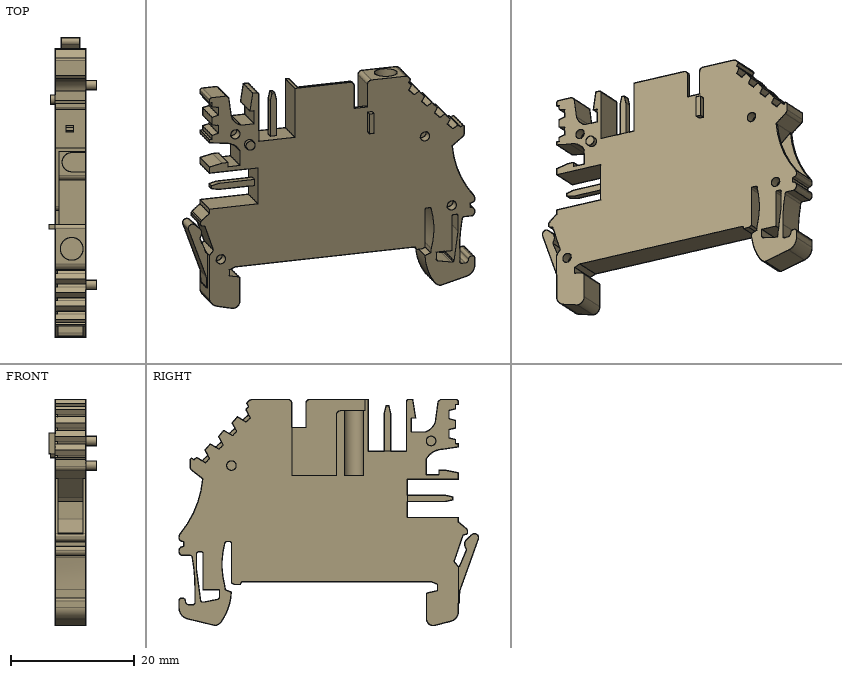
import cadquery as cq
import math


WIDTH = 4.95
HEIGHT = 36.7
BACK = 45.3
UNDERSIDE = 7.1

RECESS_SPAN = 6.2
RECESS_RIM = 0.35
TOP_RECESS_FRONT = 30.75
TOP_RECESS_FLOOR = 28.3
TOP_RECESS_BACK = TOP_RECESS_FRONT + RECESS_SPAN
REAR_RECESS_BOTTOM = 17.55
REAR_RECESS_TOP = REAR_RECESS_BOTTOM + RECESS_SPAN
REAR_RECESS_FLOOR = 37.05
PIN_LENGTH = 7.4
PIN_THICKNESS = 1.05
PIN_WIDTH = 1.2
PIN_TIP = 0.5
PIN_TAPER = 1.25
PIN_X = 2.35

SLOT_BACK = 20.55
SLOT_FRONT = 18.35
SLOT_FLOOR = 32.15
SLOT_ROUND = 0.7
SCREW_X = 2.67
SCREW_Y = 14.35
SCREW_RADIUS = 1.85

CHAMBER_FLOOR = 24.3
SIDE_WALL = 0.6
SEAT_FRONT = 25.55
SEAT_TOP = 34.85
SEAT_ROUND = 0.75
SEAT_NOTCH_Y = 28.4
SEAT_NOTCH_RADIUS = 1.55

TOOTH_COUNT = 4
TOOTH_PITCH = 3.1
TOOTH_STEP = TOOTH_PITCH * math.sqrt(0.5)
TEETH_START_Y = 11.3
TEETH_START_Z = 34.25
VALLEY_SKIN = 0.4

SERRATION_COUNT = 2
SERRATION_REBATE = 0.45
SERRATION_BOTTOM = 29.5
SERRATION_TOP = 35.85
SERRATION_FIRST_Z = 31.1
SERRATION_PITCH = 3.1
SERRATION_DEPTH = 1.05
SERRATION_MOUTH = 1.85
SERRATION_ROOT = 1.3

POCKET_WALL = 0.45
POCKET_FLOOR = 15.05
POCKET_REAR = 7.8

PEG_RADIUS = 0.8
PEG_LENGTH = 1.75
PEG_PLACES = [(40.9, 29.95), (8.5, 25.95)]
PEG_HOLE_PLACES = [*PEG_PLACES, (3.95, 13.55), (43.4, 8.7)]
STUD_PLACE = (38.55, 28.0)
STUD_LENGTH = 0.8
TAB_LENGTH = 1.0
TAB_THICKNESS = 0.8
TAB_BOTTOM = 27.85
TAB_TOP = 31.25

LEVER_WIDTH = 3.0
OVERCUT = 0.5


def yz_sketch(x=0):
    """Workplane in YZ whose extrusions start at the given X."""
    return cq.Workplane("YZ", origin=(x, 0, 0))


def prism(points, x=0, width=WIDTH):
    """Extrudes a straight-sided YZ outline along X."""
    return yz_sketch(x).polyline(points).close().extrude(width)


def block(y_range, z_range, x=0, width=WIDTH):
    """Box given by its Y and Z limits."""
    (y0, y1), (z0, z1) = y_range, z_range
    return prism([(y0, z0), (y1, z0), (y1, z1), (y0, z1)], x, width)


def cylinders(places, x, length):
    """Round pegs along +X at the given YZ places."""
    return yz_sketch(x).pushPoints(places).circle(PEG_RADIUS).extrude(length)


def tooth_ramp():
    """Points of the ramp from the top of the first valley to the tip of the last tooth."""
    points = []
    for i in range(TOOTH_COUNT):
        y = TEETH_START_Y - i * TOOTH_STEP
        z = TEETH_START_Z - i * TOOTH_STEP
        points += [(y, z), (y - 0.9, z - 0.88), (y - 1.8, z - 0.35)]
        if i < TOOTH_COUNT - 1:
            points.append((y - 2.67, z - 1.35))
    return points


def deep_valleys(body):
    """Deepens the valleys between the teeth everywhere but in a thin skin on the -X side."""
    for i in range(TOOTH_COUNT):
        y = TEETH_START_Y - i * TOOTH_STEP
        z = TEETH_START_Z - i * TOOTH_STEP
        valley = [(y, z), (y + 0.3, z - 0.55), (y - 0.4, z - 1.2), (y - 0.9, z - 0.88)]
        body = body.cut(prism(valley, VALLEY_SKIN))
    return body


def plate():
    """Solid plate with the toothed ramp, curved front, front clip foot and rear foot."""
    outline = (
        yz_sketch()
        .moveTo(BACK - 0.4, HEIGHT)
        .lineTo(11.85, HEIGHT)
        .threePointArc((11.35, 36.45), (11.0, 36.05))
        .lineTo(11.3, 35.55)
        .lineTo(10.85, 35.05)
    )
    for point in tooth_ramp():
        outline = outline.lineTo(*point)
    return (
        outline
        .lineTo(2.45, 26.95)
        .lineTo(2.05, 27.2)
        .lineTo(1.8, 27.0)
        .lineTo(1.8, 25.8)
        .threePointArc((1.85, 25.5), (2.1, 25.2))
        .lineTo(3.85, 23.85)
        .threePointArc((2.7, 19.15), (0.2, 14.95))
        .threePointArc((0.05, 14.65), (0, 14.35))
        .threePointArc((0.1, 13.9), (0.4, 13.7))
        .lineTo(0.8, 13.55)
        .lineTo(0.8, 13.05)
        .threePointArc((0.75, 12.9), (0.6, 12.85))
        .threePointArc((0.2, 12.65), (0, 12.15))
        .threePointArc((0.15, 11.6), (0.5, 11.4))
        .lineTo(1.85, 11.4)
        .threePointArc((2.05, 11.3), (2.15, 11.05))
        .threePointArc((2.5, 8.45), (2.6, 5.85))
        .lineTo(2.6, 3.8)
        .threePointArc((2.5, 3.5), (2.2, 3.4))
        .lineTo(1.65, 3.4)
        .threePointArc((1.25, 3.55), (1.05, 4.0))
        .threePointArc((0.9, 4.35), (0.6, 4.45))
        .lineTo(0.3, 4.45)
        .threePointArc((0.1, 4.35), (0, 4.0))
        .lineTo(0, 2.95)
        .threePointArc((0.4, 1.75), (1.45, 1.05))
        .lineTo(5.9, 0)
        .threePointArc((6.45, 0.25), (7.0, 0.85))
        .threePointArc((8.05, 3.0), (8.5, 5.45))
        .lineTo(7.55, 5.85)
        .lineTo(7.45, 6.5)
        .threePointArc((7.0, 9.9), (7.45, 13.32))
        .threePointArc((7.55, 13.5), (7.7, 13.6))
        .lineTo(8.25, 13.6)
        .threePointArc((8.45, 13.5), (8.5, 13.32))
        .lineTo(8.5, 6.9)
        .lineTo(9.0, 6.65)
        .lineTo(9.95, 6.65)
        .lineTo(10.15, UNDERSIDE)
        .lineTo(40.95, UNDERSIDE)
        .lineTo(41.9, 6.7)
        .lineTo(41.9, 5.7)
        .lineTo(40.4, 5.35)
        .threePointArc((40.2, 5.25), (40.1, 5.05))
        .lineTo(40.1, 1.15)
        .threePointArc((40.5, 0.3), (41.4, 0))
        .lineTo(44.05, 0.7)
        .threePointArc((44.95, 1.2), (BACK, 2.0))
        .lineTo(BACK, 9.6)
        .lineTo(44.65, 10.4)
        .lineTo(46.1, 14.7)
        .lineTo(46.7, 14.85)
        .lineTo(46.85, 15.0)
        .lineTo(46.85, 15.45)
        .lineTo(46.7, 15.7)
        .lineTo(BACK, 16.85)
        .lineTo(BACK, HEIGHT - 0.35)
        .threePointArc((BACK - 0.15, HEIGHT - 0.1), (BACK - 0.4, HEIGHT))
        .close()
        .extrude(WIDTH)
    )


def lever():
    """Release lever behind the rear foot, narrower than the plate and centred on it."""
    return (
        yz_sketch((WIDTH - LEVER_WIDTH) / 2)
        .moveTo(BACK, 3.65)
        .lineTo(45.45, 3.65)
        .lineTo(45.55, 5.65)
        .lineTo(48.6, 14.05)
        .threePointArc((48.3, 14.85), (47.45, 14.75))
        .lineTo(46.5, 13.8)
        .threePointArc((46.35, 13.35), (46.4, 12.85))
        .lineTo(46.65, 12.3)
        .lineTo(45.5, 9.7)
        .lineTo(BACK, 9.55)
        .close()
        .extrude(LEVER_WIDTH)
    )


def top_pin_recess():
    """Recess around the upright pin, open upwards and across the whole width."""
    return (
        yz_sketch()
        .moveTo(TOP_RECESS_FRONT, TOP_RECESS_FLOOR)
        .lineTo(TOP_RECESS_BACK, TOP_RECESS_FLOOR)
        .lineTo(TOP_RECESS_BACK, HEIGHT - RECESS_RIM)
        .radiusArc((TOP_RECESS_BACK + RECESS_RIM, HEIGHT), RECESS_RIM)
        .lineTo(TOP_RECESS_FRONT, HEIGHT)
        .close()
        .extrude(WIDTH)
    )


def rear_pin_recess():
    """Recess around the rearward pin, open to the rear and across the whole width."""
    return block((REAR_RECESS_FLOOR, BACK + OVERCUT), (REAR_RECESS_BOTTOM, REAR_RECESS_TOP))


def upper_latch_mouth():
    """Hooked mouth behind the top recess, opening upwards."""
    return (
        yz_sketch()
        .moveTo(42.45, HEIGHT)
        .lineTo(42.0, 36.35)
        .lineTo(41.6, 33.1)
        .threePointArc((41.0, 32.1), (39.93, 31.4))
        .lineTo(37.7, 31.4)
        .lineTo(37.7, 33.65)
        .lineTo(38.4, 33.65)
        .lineTo(37.95, HEIGHT)
        .close()
        .extrude(WIDTH)
    )


def rear_latch_mouth():
    """Hooked mouth above the rear recess, opening to the rear."""
    return (
        yz_sketch()
        .moveTo(BACK, 29.0)
        .lineTo(42.8, 28.6)
        .threePointArc((40.95, 27.95), (40.1, 27.0))
        .lineTo(40.1, 24.5)
        .lineTo(42.15, 24.5)
        .lineTo(42.15, 25.25)
        .lineTo(43.2, 25.25)
        .lineTo(BACK, 24.8)
        .close()
        .extrude(WIDTH)
    )


def serrations():
    """Shallow rebate with two tapered notches on the rear edge."""
    rebate = BACK - SERRATION_REBATE
    root = rebate - SERRATION_DEPTH
    cutter = block((rebate, BACK + OVERCUT), (SERRATION_BOTTOM, SERRATION_TOP))
    for i in range(SERRATION_COUNT):
        z = SERRATION_FIRST_Z + i * SERRATION_PITCH
        cutter = cutter.union(prism([
            (rebate, z - SERRATION_MOUTH / 2),
            (root, z - SERRATION_ROOT / 2),
            (root, z + SERRATION_ROOT / 2),
            (rebate, z + SERRATION_MOUTH / 2),
        ]))
    return cutter


def top_slot():
    """Slot across the top with rounded rims."""
    return (
        yz_sketch()
        .moveTo(SLOT_BACK, SLOT_FLOOR)
        .lineTo(SLOT_BACK, HEIGHT - SLOT_ROUND)
        .radiusArc((SLOT_BACK + SLOT_ROUND, HEIGHT), SLOT_ROUND)
        .lineTo(SLOT_FRONT - SLOT_ROUND, HEIGHT)
        .radiusArc((SLOT_FRONT, HEIGHT - SLOT_ROUND), SLOT_ROUND)
        .lineTo(SLOT_FRONT, SLOT_FLOOR)
        .close()
        .extrude(WIDTH)
    )


def compartment():
    """Space behind the slot around a raised seat with a round-ended notch."""
    back = TOP_RECESS_FRONT - SIDE_WALL
    depth = WIDTH - SIDE_WALL + OVERCUT
    space = block((SLOT_FRONT, back), (CHAMBER_FLOOR, HEIGHT + OVERCUT), SIDE_WALL, depth)
    seat = block((SEAT_FRONT, back), (CHAMBER_FLOOR, SEAT_TOP), SIDE_WALL, depth)
    seat = seat.edges("|X and >Z and <Y").fillet(SEAT_ROUND)
    notch = (
        cq.Workplane("XY", origin=(SCREW_X, SEAT_NOTCH_Y, CHAMBER_FLOOR))
        .moveTo(WIDTH, -SEAT_NOTCH_RADIUS)
        .lineTo(0, -SEAT_NOTCH_RADIUS)
        .threePointArc((-SEAT_NOTCH_RADIUS, 0), (0, SEAT_NOTCH_RADIUS))
        .lineTo(WIDTH, SEAT_NOTCH_RADIUS)
        .close()
        .extrude(SEAT_TOP - CHAMBER_FLOOR)
    )
    return space.cut(seat.cut(notch))


def screw_hole():
    """Blind round hole in the top of the terminal block."""
    return (
        cq.Workplane("XY", origin=(SCREW_X, SCREW_Y, CHAMBER_FLOOR))
        .circle(SCREW_RADIUS)
        .extrude(HEIGHT - CHAMBER_FLOOR)
    )


def front_pocket():
    """Deep pocket in the curved front face, with a gently rounded lip on its floor."""
    return (
        yz_sketch(POCKET_WALL)
        .moveTo(-OVERCUT, 23.85)
        .lineTo(3.85, 23.85)
        .lineTo(POCKET_REAR - 0.5, 20.75)
        .lineTo(POCKET_REAR, 20.15)
        .lineTo(POCKET_REAR, 17.3)
        .lineTo(POCKET_REAR - 0.5, POCKET_FLOOR)
        .lineTo(0.75, POCKET_FLOOR)
        .threePointArc((0.45, 15.0), (0.2, 14.9))
        .lineTo(-OVERCUT, 14.9)
        .close()
        .extrude(WIDTH - 2 * POCKET_WALL)
    )


def clip_window():
    """L-shaped opening that frees the springy strand of the front foot."""
    return (
        yz_sketch()
        .moveTo(3.9, 5.8)
        .lineTo(3.9, 11.7)
        .threePointArc((3.85, 11.85), (3.65, 11.95))
        .lineTo(3.15, 11.95)
        .threePointArc((2.95, 11.85), (2.85, 11.65))
        .lineTo(2.85, 9.05)
        .lineTo(3.55, 4.0)
        .lineTo(3.7, 3.85)
        .lineTo(4.1, 3.85)
        .lineTo(6.25, 4.3)
        .threePointArc((6.45, 4.4), (6.55, 4.6))
        .lineTo(6.55, 5.8)
        .close()
        .extrude(WIDTH)
    )


def tab():
    """Locating tab on the -X face, flush with the front wall of the slot."""
    y_range = (SLOT_FRONT - TAB_THICKNESS, SLOT_FRONT)
    return block(y_range, (TAB_BOTTOM, TAB_TOP), -TAB_LENGTH, TAB_LENGTH)


def make_housing():
    """Plate and lever with all openings cut, then the pegs, stud and tab added."""
    cutters = [
        top_pin_recess(),
        rear_pin_recess(),
        upper_latch_mouth(),
        rear_latch_mouth(),
        serrations(),
        top_slot(),
        compartment(),
        screw_hole(),
        front_pocket(),
        clip_window(),
        cylinders(PEG_HOLE_PLACES, 0, PEG_LENGTH),
    ]
    body = deep_valleys(plate().union(lever()))
    for cutter in cutters:
        body = body.cut(cutter)
    pegs = cylinders(PEG_PLACES, WIDTH, PEG_LENGTH)
    stud = cylinders([STUD_PLACE], -STUD_LENGTH, STUD_LENGTH)
    return body.union(pegs).union(stud).union(tab())


def make_contact_pin():
    """Flat pin standing along +Z on the origin, tapered at its tip."""
    half = PIN_THICKNESS / 2
    shoulder = PIN_LENGTH - PIN_TAPER
    return prism(
        [
            (-half, 0),
            (half, 0),
            (half, shoulder),
            (PIN_TIP / 2, PIN_LENGTH),
            (-PIN_TIP / 2, PIN_LENGTH),
            (-half, shoulder),
        ],
        -PIN_WIDTH / 2,
        PIN_WIDTH,
    )


housing = make_housing()

PIN_PLACES = [
    (0, TOP_RECESS_FRONT + RECESS_SPAN / 2, TOP_RECESS_FLOOR),
    (-90, REAR_RECESS_FLOOR, REAR_RECESS_BOTTOM + RECESS_SPAN / 2),
]
contact_pins = [
    make_contact_pin().rotate((0, 0, 0), (1, 0, 0), tilt).translate((PIN_X, y, z))
    for tilt, y, z in PIN_PLACES
]

result = cq.Compound.makeCompound([housing.val(), *[pin.val() for pin in contact_pins]])